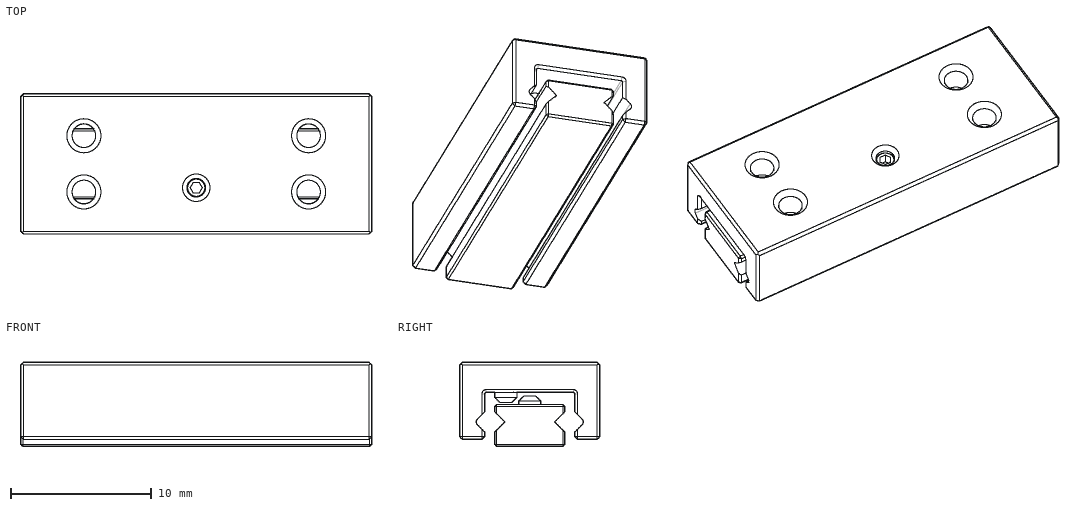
import cadquery as cq
import math

LENGTH = 25.0
CARRIAGE_WIDTH = 10.0
CARRIAGE_TOP = 6.0
CARRIAGE_BOTTOM = 0.5
CARRIAGE_CHAMFER = 0.2

CHANNEL_WIDTH = 6.4
CHANNEL_TOP = 3.85
CHANNEL_CORNER_RADIUS = 0.1

RAIL_WIDTH = 5.0
RAIL_HEIGHT = 3.0
RAIL_CHAMFER = 0.15

RACEWAY_Z = 1.75
RACEWAY_DEPTH = 0.72
RACEWAY_ROOT_RADIUS = 0.3
GROOVE_OVERCUT = 0.12

MOUNT_HOLE_DIAMETER = 1.68
MOUNT_SINK_DIAMETER = 2.42
MOUNT_SPACING_X = 16.0
MOUNT_SPACING_Y = 4.0

SCREW_Y = -1.7
SCREW_DIAMETER = 1.6
SCREW_TOP_DIAMETER = 1.22
SCREW_RECESS = 0.48
SCREW_TOP = CARRIAGE_TOP - SCREW_RECESS
SCREW_BOTTOM = 3.12
SOCKET_ACROSS_FLATS = 0.75
SOCKET_DEPTH = 0.75
ACCESS_HOLE_DIAMETER = 1.32
ACCESS_SINK_DIAMETER = 1.95

PIN_DIAMETER = 1.6
PIN_TOP = 3.6
PIN_BOTTOM = 1.5

TIP_DIAMETER = 0.85
TIP_HEIGHT = 0.38


def long_box(width, bottom, top):
    """Full-length box centred on X and Y."""
    return cq.Workplane("XY", origin=(0, 0, bottom)).box(
        LENGTH, width, top - bottom, centered=(True, True, False)
    )


def groove(wall_y, direction):
    """Full-length 90 degree V groove that starts on a wall and deepens along direction (+1 or -1 in Y)."""
    root_y = wall_y + direction * RACEWAY_DEPTH
    mouth_y = wall_y - direction * GROOVE_OVERCUT
    half_mouth = RACEWAY_DEPTH + GROOVE_OVERCUT
    return (
        cq.Workplane("YZ", origin=(-LENGTH / 2, 0, 0))
        .moveTo(mouth_y, RACEWAY_Z - half_mouth)
        .lineTo(root_y, RACEWAY_Z)
        .lineTo(mouth_y, RACEWAY_Z + half_mouth)
        .close()
        .extrude(LENGTH)
    )


def revolved_body(x, y, profile):
    """Turn (radius, z) points, listed from bottom to top, about the vertical axis at x, y."""
    bottom_z = profile[0][1]
    top_z = profile[-1][1]
    return (
        cq.Workplane("XZ", origin=(x, y, 0))
        .polyline([(0, bottom_z), *profile, (0, top_z)])
        .close()
        .revolve(360, (0, 0), (0, 1))
    )


def countersunk_hole(x, y, diameter, sink_diameter):
    """Cutter down from the carriage top into the channel, with a 90 degree countersink."""
    radius = diameter / 2
    sink_radius = sink_diameter / 2
    sink_bottom = CARRIAGE_TOP - (sink_radius - radius)
    return revolved_body(
        x,
        y,
        [
            (radius, CHANNEL_TOP),
            (radius, sink_bottom),
            (sink_radius, CARRIAGE_TOP),
        ],
    )


def set_screw_blank():
    """Set screw without its socket: bevelled top, straight shank, conical tip below."""
    radius = SCREW_DIAMETER / 2
    top_radius = SCREW_TOP_DIAMETER / 2
    return revolved_body(
        0,
        SCREW_Y,
        [
            (TIP_DIAMETER / 2, SCREW_BOTTOM),
            (radius, SCREW_BOTTOM + TIP_HEIGHT),
            (radius, SCREW_TOP - (radius - top_radius)),
            (top_radius, SCREW_TOP),
        ],
    )


def make_set_screw():
    """Set screw with a hexagon socket in its top."""
    socket_across_corners = 2 * SOCKET_ACROSS_FLATS / math.sqrt(3)
    socket = (
        cq.Workplane("XY", origin=(0, SCREW_Y, SCREW_TOP))
        .polygon(6, socket_across_corners)
        .extrude(-SOCKET_DEPTH)
    )
    return set_screw_blank().cut(socket)


def make_stop_pin():
    """Pin that stands out of the rail top and ends in a cone."""
    radius = PIN_DIAMETER / 2
    return revolved_body(
        0,
        0,
        [
            (radius, PIN_BOTTOM),
            (radius, PIN_TOP - TIP_HEIGHT),
            (TIP_DIAMETER / 2, PIN_TOP),
        ],
    )


def make_carriage():
    body = long_box(CARRIAGE_WIDTH, CARRIAGE_BOTTOM, CARRIAGE_TOP)
    channel = long_box(CHANNEL_WIDTH, CARRIAGE_BOTTOM, CHANNEL_TOP)
    channel = channel.edges("|X and >Z").fillet(CHANNEL_CORNER_RADIUS)
    body = body.cut(channel)
    body = body.faces("<X or >X or <Z").edges().chamfer(CARRIAGE_CHAMFER)
    top_long_edges = body.faces(">Z").edges("|X")
    body = top_long_edges.chamfer(CARRIAGE_CHAMFER)

    for side in (-1, 1):
        raceway = groove(side * CHANNEL_WIDTH / 2, side)
        root = raceway.edges(">Y" if side > 0 else "<Y")
        body = body.cut(root.fillet(RACEWAY_ROOT_RADIUS))

    for x in (-MOUNT_SPACING_X / 2, MOUNT_SPACING_X / 2):
        for y in (-MOUNT_SPACING_Y / 2, MOUNT_SPACING_Y / 2):
            body = body.cut(countersunk_hole(x, y, MOUNT_HOLE_DIAMETER, MOUNT_SINK_DIAMETER))

    access_hole = countersunk_hole(0, SCREW_Y, ACCESS_HOLE_DIAMETER, ACCESS_SINK_DIAMETER)
    return body.cut(access_hole).cut(set_screw_blank())


def make_rail():
    body = long_box(RAIL_WIDTH, 0, RAIL_HEIGHT).edges().chamfer(RAIL_CHAMFER)
    for side in (-1, 1):
        body = body.cut(groove(side * RAIL_WIDTH / 2, -side))
    return body.cut(make_stop_pin())


carriage = make_carriage()
rail = make_rail()
set_screw = make_set_screw()
stop_pin = make_stop_pin()

result = cq.Compound.makeCompound([carriage.val(), rail.val(), set_screw.val(), stop_pin.val()])